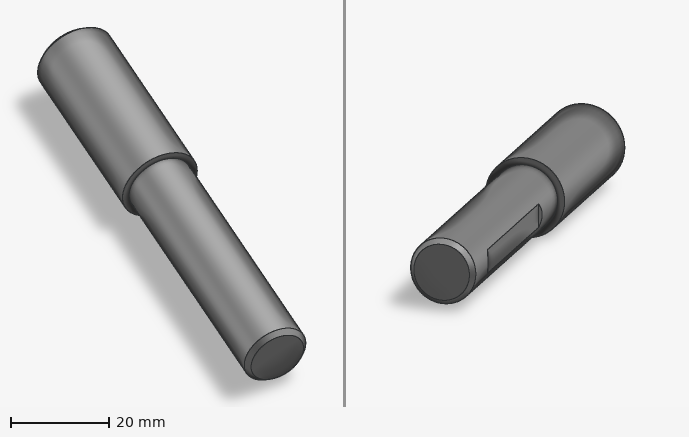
import cadquery as cq

total_length = 94.0
head_length = 40.0
head_diameter = 17.0
shank_diameter = 14.0
end_chamfer = 1.0

relief_depth = 0.5
relief_start = 10.0
relief_length = 35.0
relief_ramp = 1.0

head_end = -total_length / 2
shoulder = head_end + head_length


def make_head():
    head = cq.Workplane("YZ", origin=(head_end, 0, 0)).circle(head_diameter / 2).extrude(head_length)
    return head.faces("<X").chamfer(end_chamfer)


def make_shank():
    shank_length = total_length - head_length
    shank = cq.Workplane("YZ", origin=(shoulder, 0, 0)).circle(shank_diameter / 2).extrude(shank_length)
    return shank.faces(">X").chamfer(end_chamfer)


def make_relief():
    """Trapezoidal prism that cuts a flat with a ramp at each end."""
    rim = shank_diameter / 2
    floor = rim - relief_depth
    start = shoulder + relief_start
    end = start + relief_length
    return (
        cq.Workplane("XY")
        .moveTo(start, rim)
        .lineTo(start + relief_ramp, floor)
        .lineTo(end - relief_ramp, floor)
        .lineTo(end, rim)
        .close()
        .extrude(shank_diameter / 2, both=True)
    )


result = make_head().union(make_shank().cut(make_relief()))